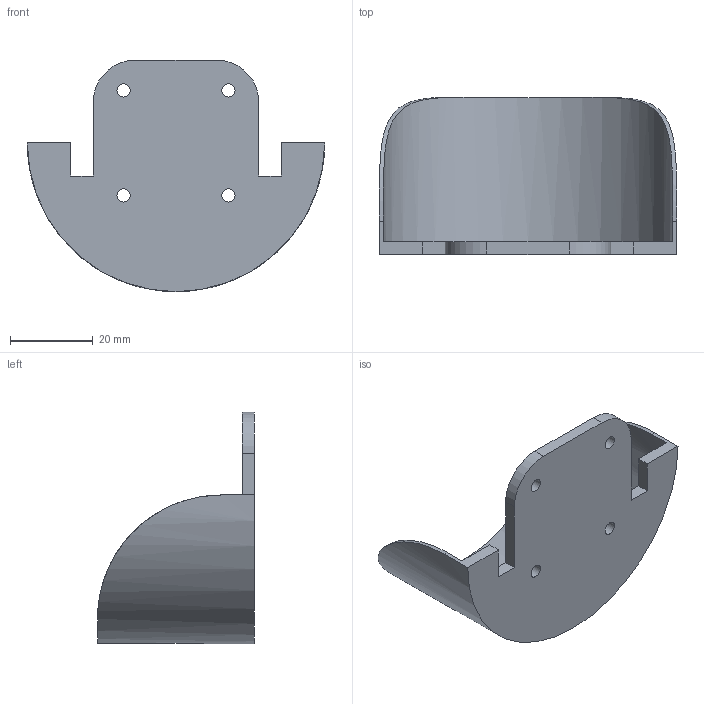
import cadquery as cq

rim_radius = 36.0
wall = 1.0
depth = 38.0
plate_thickness = 3.0
nose_radius = 30.0

tab_width = 40.0
tab_height = 20.0
tab_corner_radius = 10.0

notch_outer_x = 25.5
notch_depth = 8.0

hole_spacing = 25.4
hole_diameter = 3.2


def cylinder_along_y(radius, start_y, end_y):
    """Full cylinder on the scoop axis."""
    return (
        cq.Workplane("XZ", origin=(0, start_y, 0))
        .circle(radius)
        .extrude(start_y - end_y)
    )


def make_scoop():
    """Half-round shell closed by the plate, with both side walls rounded off."""
    outer = cylinder_along_y(rim_radius, 0, depth)
    inner = cylinder_along_y(rim_radius - wall, plate_thickness, depth)
    side_outline = (
        cq.Workplane("YZ")
        .moveTo(0, 0)
        .lineTo(depth - nose_radius, 0)
        .radiusArc((depth, -nose_radius), nose_radius)
        .lineTo(depth, -rim_radius)
        .lineTo(0, -rim_radius)
        .close()
        .extrude(rim_radius, both=True)
    )
    return outer.cut(inner).intersect(side_outline)


def make_tab():
    """Upright tab with rounded top corners, reaching down to the notch floor."""
    height = tab_height + notch_depth
    return (
        cq.Workplane("XY")
        .box(tab_width, plate_thickness, height, centered=(True, False, False))
        .translate((0, 0, -notch_depth))
        .edges("|Y and >Z")
        .fillet(tab_corner_radius)
    )


def make_notches():
    """Band across the plate; the tab fills its middle and leaves a notch on each side."""
    return (
        cq.Workplane("XY")
        .box(2 * notch_outer_x, plate_thickness, notch_depth, centered=(True, False, False))
        .translate((0, 0, -notch_depth))
    )


def make_holes():
    """Four through holes in the plate."""
    return (
        cq.Workplane("XZ")
        .rarray(hole_spacing, hole_spacing, 2, 2)
        .circle(hole_diameter / 2)
        .extrude(-plate_thickness)
    )


result = make_scoop().cut(make_notches()).union(make_tab()).cut(make_holes())